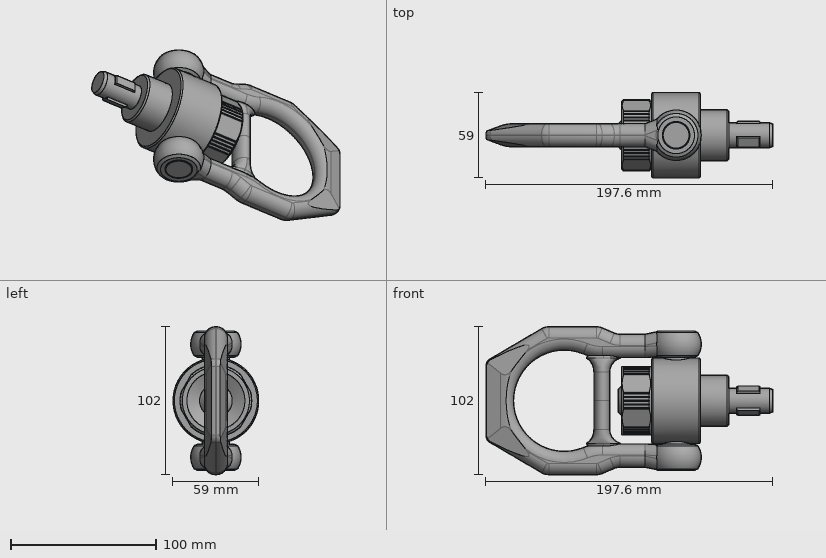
import cadquery as cq
import math


SHACKLE_THICK = 16.0
EDGE_ROUND = 7.7
EYE_X = 131.0
CROWN_HALF = 27.0
CROWN_ROUND = 6.0
RING_HALF = 51.0
RING_START_X = 40.7
RING_END_X = 78.3
ARM_START_X = 90.3
ARM_OUTER = 45.9
ARM_INNER = 29.6
OUTLINE_ROUND = 9.9
RING_CENTER_X = 54.0
RING_HOLE_R = 34.8
NECK_START_X = 109.7
TIP_HALF = 2.8
TAPER_END_X = 14.2
TAPER_ROUND = 23.7
SHOULDER_TAPER_Z = 15.8

BAR_X = 79.8
BAR_HALF_WIDTH = 5.5
BAR_HALF_DEPTH = 8.0
BAR_FLARE_R = 9.9
BAR_FLARE_RING_R = 7.0
BAR_FLARE_THINNING = 2.4
BAR_FLARE_STEPS = 4
BAR_FLARE_ANGLE = 75
BAR_END_Z = 34.5
BAR_FOOT_TAPER = 30

EYE_BOTTOM = 29.8
EYE_TOP = 48.0
EYE_MID = (EYE_BOTTOM + EYE_TOP) / 2
EYE_R = 17.4
EYE_SHOULDER_R = 15.0
EYE_FACE_R = 12.6
EYE_LIP = 1.2
NECK_END_X = EYE_X - 12.8
NECK_END_WIDTH = 22.5
NECK_END_HEIGHT = 17.4

HOUSING_R = 59.0 / 2
HOUSING_X = 114.0
HOUSING_END_X = 147.8
HOUSING_CHAMFER = 1.0
TRUNNION_R = 9.5
TRUNNION_CHAMFER = 0.5

KNOB_X = 93.3
KNOB_R = 24.7
KNOB_FLAT = 23.7
KNOB_CHAMFER = 1.5
LIP_R = 20.0
DISH_DEPTH = 5.0
BUTTON_R = 11.3
BUTTON_FACE_R = 8.0
BUTTON_X = 91.1
SHOULDER_R = 17.5
SHOULDER_END_X = 167.4
SHOULDER_CHAMFER = 1.2
STEM_R = 8.7
STEM_END_X = 197.6
STEM_CHAMFER_LENGTH = 2.4
STEM_CHAMFER_DEPTH = 1.0

GRIP_COUNT = 6
GROOVES_PER_GRIP = 5
GROOVE_PITCH = 6.0
GROOVE_SIZE = 0.5
GROOVE_X = 95.0
GROOVE_END_X = 112.6

KEY_COUNT = 3
KEY_X = 172.7
KEY_END_X = 189.0
KEY_WIDTH = 7.1
KEY_HEIGHT = 9.7
KEY_CHAMFER = 0.8

SELECT_MARGIN = 2.0


def mirror_z(shape):
    return shape.mirror("XY")


def box_around(x_start, x_end, half_y, half_z):
    """Selector for whatever lies in a box centred on the X axis, with a little margin."""
    return cq.selectors.BoxSelector(
        (x_start - SELECT_MARGIN, -half_y - SELECT_MARGIN, -half_z - SELECT_MARGIN),
        (x_end + SELECT_MARGIN, half_y + SELECT_MARGIN, half_z + SELECT_MARGIN),
    )


def revolve_about_x(points):
    """Turn a closed (x, radius) outline about the X axis."""
    return cq.Workplane("XY").polyline(points).close().revolve(360, (0, 0, 0), (1, 0, 0))


def shoulder_taper(y_sign, z_sign):
    """Four-sided wedge that carries the crown's taper on along one sloping side of the ring."""
    half = SHACKLE_THICK / 2
    corner = (0, y_sign * TIP_HALF, z_sign * CROWN_HALF)
    corner_outside = (0, y_sign * half, z_sign * CROWN_HALF)
    inner_end = (TAPER_END_X, y_sign * half, z_sign * SHOULDER_TAPER_Z)
    far_end = (RING_START_X, y_sign * half, z_sign * RING_HALF)
    points = [cq.Vector(*point) for point in (corner, corner_outside, inner_end, far_end)]
    faces = []
    for skipped in points:
        triangle = [point for point in points if point is not skipped]
        faces.append(cq.Face.makeFromWires(cq.Wire.makePolygon(triangle, close=True)))
    return cq.Workplane(cq.Solid.makeSolid(cq.Shell.makeShell(faces)))


def shackle_loop():
    """Ring and arms: a flat loop with rounded edges, thinned towards the crown."""
    upper = [
        (0, CROWN_HALF),
        (RING_START_X, RING_HALF),
        (RING_END_X, RING_HALF),
        (ARM_START_X, ARM_OUTER),
        (NECK_START_X, ARM_OUTER),
    ]
    lower = [(x, -z) for x, z in reversed(upper)]
    half = SHACKLE_THICK / 2
    plate = cq.Workplane("XZ").polyline(upper + lower).close().extrude(half, both=True)
    plate = plate.edges("|Y and <X").fillet(CROWN_ROUND)
    outer_corners = box_around(RING_START_X, ARM_START_X, half, RING_HALF)
    plate = plate.edges("|Y").edges(outer_corners).fillet(OUTLINE_ROUND)

    gap_x = RING_CENTER_X + math.sqrt(RING_HOLE_R ** 2 - ARM_INNER ** 2)
    opening = (
        cq.Workplane("XZ")
        .moveTo(gap_x, ARM_INNER)
        .threePointArc((RING_CENTER_X - RING_HOLE_R, 0), (gap_x, -ARM_INNER))
        .lineTo(NECK_START_X, -ARM_INNER)
        .lineTo(NECK_START_X, ARM_INNER)
        .close()
        .extrude(half, both=True)
    )
    opening_corners = box_around(gap_x, gap_x, half, ARM_INNER)
    opening = opening.edges("|Y").edges(opening_corners).fillet(RING_HOLE_R)
    loop = plate.cut(opening)
    loop = loop.faces("<Y or >Y").edges("not(>X)").fillet(EDGE_ROUND)

    taper = (
        cq.Workplane("XY")
        .polyline([
            (0, -TIP_HALF), (TAPER_END_X, -half), (NECK_START_X, -half),
            (NECK_START_X, half), (TAPER_END_X, half), (0, TIP_HALF),
        ])
        .close()
        .extrude(RING_HALF, both=True)
    )
    bends = box_around(TAPER_END_X, TAPER_END_X, half, 0)
    taper = taper.edges("|Z").edges(bends).fillet(TAPER_ROUND)
    loop = loop.intersect(taper)
    for y_sign in (-1, 1):
        for z_sign in (-1, 1):
            loop = loop.cut(shoulder_taper(y_sign, z_sign))
    return loop


def crossbar():
    """Elliptical bar between the arms, flaring out at both ends."""
    flare_z = ARM_INNER - BAR_FLARE_R
    bar = (
        cq.Workplane("XY", origin=(BAR_X, 0, 0))
        .ellipse(BAR_HALF_WIDTH, BAR_HALF_DEPTH)
        .extrude(flare_z, both=True)
    )
    sections = []
    for step in range(BAR_FLARE_STEPS + 1):
        angle = math.radians(BAR_FLARE_ANGLE * step / BAR_FLARE_STEPS)
        spread = 1 - math.cos(angle)
        z = flare_z + BAR_FLARE_R * math.sin(angle)
        ring_side = BAR_X - BAR_HALF_WIDTH - BAR_FLARE_RING_R * spread
        arm_side = BAR_X + BAR_HALF_WIDTH + BAR_FLARE_R * spread
        half_depth = BAR_HALF_DEPTH - BAR_FLARE_THINNING * spread
        section = (
            cq.Workplane("XY", origin=((ring_side + arm_side) / 2, 0, z))
            .ellipse((arm_side - ring_side) / 2, half_depth)
        )
        sections.append(section.wires().val())
    flare = cq.Workplane(cq.Solid.makeLoft(sections))
    foot = section.extrude(BAR_END_Z - z, taper=BAR_FOOT_TAPER)
    flare = flare.union(foot)
    return bar.union(flare).union(mirror_z(flare))


def neck_section(width, height):
    return cq.Sketch().rect(width, height).vertices().fillet(EDGE_ROUND)


def neck():
    """Blend from the upper arm's section to the eye."""
    arm_mid = (ARM_OUTER + ARM_INNER) / 2
    arm_section = neck_section(SHACKLE_THICK, ARM_OUTER - ARM_INNER)
    eye_section = neck_section(NECK_END_WIDTH, NECK_END_HEIGHT)
    rise = cq.Location(cq.Vector(0, EYE_MID - arm_mid, NECK_END_X - NECK_START_X))
    blend = (
        cq.Workplane("YZ", origin=(NECK_START_X, 0, arm_mid))
        .placeSketch(arm_section, eye_section.moved(rise))
        .loft()
    )
    tail = (
        cq.Workplane("YZ", origin=(NECK_END_X, 0, EYE_MID))
        .placeSketch(eye_section)
        .extrude(EYE_X - NECK_END_X)
    )
    return blend.union(tail)


def eye():
    """Barrel-shaped upper eye, turned about a vertical axis."""
    return (
        cq.Workplane("XZ", origin=(EYE_X, 0, 0))
        .moveTo(0, EYE_BOTTOM)
        .lineTo(EYE_FACE_R, EYE_BOTTOM)
        .lineTo(EYE_SHOULDER_R, EYE_BOTTOM + EYE_LIP)
        .threePointArc((EYE_R, EYE_MID), (EYE_SHOULDER_R, EYE_TOP - EYE_LIP))
        .lineTo(EYE_FACE_R, EYE_TOP)
        .lineTo(0, EYE_TOP)
        .close()
        .revolve(360, (0, 0, 0), (0, 1, 0))
    )


def make_shackle():
    shackle = shackle_loop().union(crossbar())
    head = neck().union(eye())
    bore = cq.Workplane("XY", origin=(EYE_X, 0, 0)).circle(TRUNNION_R).extrude(EYE_TOP, both=True)
    return shackle.union(head).union(mirror_z(head)).cut(bore)


def make_housing():
    """Swivel ring with a trunnion above and below, bored for the spindle."""
    ring = cq.Workplane("YZ", origin=(HOUSING_X, 0, 0)).circle(HOUSING_R).extrude(HOUSING_END_X - HOUSING_X)
    ring = ring.edges().chamfer(HOUSING_CHAMFER)
    trunnions = cq.Workplane("XY", origin=(EYE_X, 0, 0)).circle(TRUNNION_R).extrude(EYE_TOP, both=True)
    trunnions = trunnions.faces("<Z or >Z").edges().chamfer(TRUNNION_CHAMFER)
    bore = cq.Workplane("YZ", origin=(HOUSING_X, 0, 0)).circle(SHOULDER_R).extrude(HOUSING_END_X - HOUSING_X)
    return ring.union(trunnions).cut(bore)


def knob():
    """Round knob with six flats and grip grooves between them."""
    body = cq.Workplane("YZ", origin=(KNOB_X, 0, 0)).circle(KNOB_R).extrude(HOUSING_X - KNOB_X)
    body = body.edges().chamfer(KNOB_CHAMFER)
    corner_diameter = 2 * KNOB_FLAT / math.cos(math.pi / GRIP_COUNT)
    hexagon = (
        cq.Workplane("YZ", origin=(KNOB_X, 0, 0))
        .polygon(GRIP_COUNT, corner_diameter)
        .extrude(HOUSING_X - KNOB_X)
    )
    body = body.intersect(hexagon)
    groove_length = GROOVE_END_X - GROOVE_X
    groove = (
        cq.Workplane("XY")
        .box(groove_length, GROOVE_SIZE, GROOVE_SIZE)
        .rotate((0, 0, 0), (1, 0, 0), 45)
        .translate((GROOVE_X + groove_length / 2, KNOB_R, 0))
    )
    for grip in range(GRIP_COUNT):
        for index in range(GROOVES_PER_GRIP):
            offset = index - (GROOVES_PER_GRIP - 1) / 2
            angle = grip * 360 / GRIP_COUNT + offset * GROOVE_PITCH
            body = body.cut(groove.rotate((0, 0, 0), (1, 0, 0), angle))
    dish = revolve_about_x([
        (KNOB_X, 0), (KNOB_X, LIP_R), (KNOB_X + DISH_DEPTH, BUTTON_R), (KNOB_X + DISH_DEPTH, 0),
    ])
    return body.cut(dish)


def button_and_shaft():
    """Turned core of the spindle, from the button to the tip of the stem."""
    return revolve_about_x([
        (BUTTON_X, 0),
        (BUTTON_X, BUTTON_FACE_R),
        (BUTTON_X + BUTTON_R - BUTTON_FACE_R, BUTTON_R),
        (HOUSING_X, BUTTON_R),
        (HOUSING_X, SHOULDER_R),
        (SHOULDER_END_X - SHOULDER_CHAMFER, SHOULDER_R),
        (SHOULDER_END_X, SHOULDER_R - SHOULDER_CHAMFER),
        (SHOULDER_END_X, STEM_R),
        (STEM_END_X - STEM_CHAMFER_LENGTH, STEM_R),
        (STEM_END_X, STEM_R - STEM_CHAMFER_DEPTH),
        (STEM_END_X, 0),
    ])


def make_spindle():
    spindle = button_and_shaft().union(knob())
    key_length = KEY_END_X - KEY_X
    key = (
        cq.Workplane("XY", origin=(KEY_X + key_length / 2, 0, 0))
        .rect(key_length, KEY_WIDTH)
        .extrude(KEY_HEIGHT)
        .faces(">Z").edges("|Y").chamfer(KEY_CHAMFER)
        .rotate((0, 0, 0), (1, 0, 0), -90)
    )
    for index in range(KEY_COUNT):
        spindle = spindle.union(key.rotate((0, 0, 0), (1, 0, 0), index * 360 / KEY_COUNT))
    return spindle


shackle = make_shackle()
housing = make_housing()
spindle = make_spindle()
result = cq.Compound.makeCompound([
    shackle.solids().val(),
    housing.solids().val(),
    spindle.solids().val(),
])